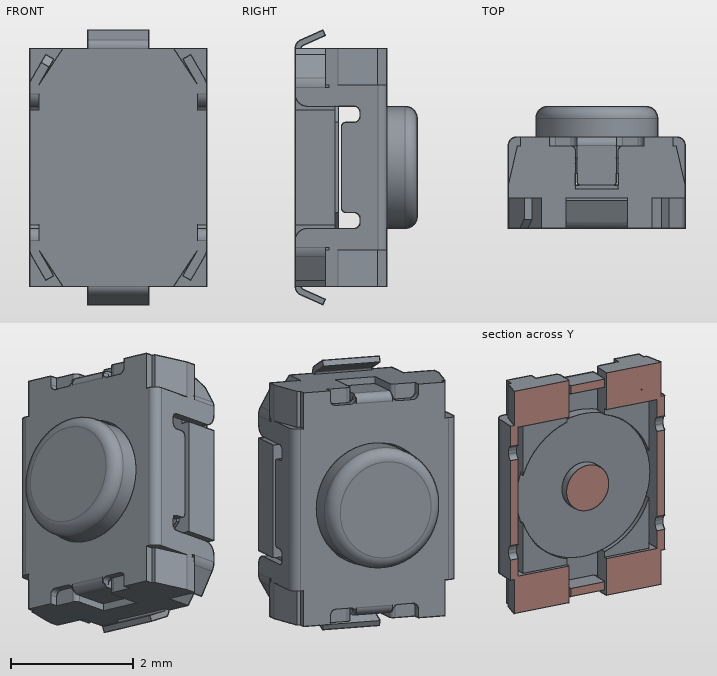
import cadquery as cq
import math

WIDTH = 2.9
HEIGHT = 3.9
OVERALL_HEIGHT = 4.5
OVERALL_DEPTH = 2.0
COVER_TOP = 1.5
SHEET = 0.15

HALF_W = WIDTH / 2
HALF_H = HEIGHT / 2
INNER_X = HALF_W - SHEET
HOUSING_TOP = COVER_TOP - SHEET

FLOOR = 0.65
CAVITY_DIAMETER = 2.5
SIDE_BLOCK_HALF = 0.94
SIDE_WINDOW_HALF = 1.3
REBATE_X = 1.18
TAPER_START = 0.7
POCKET_DEPTH = 0.5
POCKET_EDGE_X = 0.905
END_SLOT_WIDTH = 0.7
END_SLOT_ROUND = 0.075

SKIRT_HALF = 1.352
EAR_HALF_W = 1.245
COVER_HOLE_DIAMETER = 2.05
WINDOW_HALF = 1.0
WINDOW_TOP = 1.06
WINDOW_ROUND = 0.1
FLAP_HALF = 0.74
FLAP_END = 0.755
FLAP_ROUND = 0.08
LEG_ROUND = 0.2
SKIRT_BEND = 0.145

TONGUE_WIDTH = 0.64
TONGUE_RECESS = 0.1
TONGUE_END = 0.71
TONGUE_BEND = 0.145
TONGUE_ROUND = 0.05
NOTCH_WIDTH = 1.55
NOTCH_DEPTH = 0.25
NOTCH_ROUND = 0.1

TAB_ANGLE = 30
TAB_TIP_Z = 1.848
TAB_CHAMFER = 0.15
TAB_BEND_RADIUS = 0.3
RELIEF_WIDTH = 0.05

BUTTON_DIAMETER = 2.0
BUTTON_ROUND = 0.2
FLANGE_BOTTOM = 1.15
NUB_DIAMETER = 0.8
NUB_BOTTOM = 0.9
CONTACT_THICKNESS = 0.06
CONTACT_HALF = 1.24
CONTACT_FLAT_HALF = FLAP_HALF

TERMINAL_WIDTH = 1.0
TERMINAL_SHEET = 0.1
TERMINAL_BEND = 0.15
TERMINAL_TILT = 24


def box(x0, x1, y0, y1, z0, z1):
    return cq.Workplane("XY").box(x1 - x0, y1 - y0, z1 - z0, centered=False).translate((x0, y0, z0))


def centred_box(width, y0, y1, height):
    return box(-width / 2, width / 2, y0, y1, -height / 2, height / 2)


def plane_at(y):
    """Work plane with local X, Y along the part's X, Z; negative extrusions go toward +Y."""
    return cq.Workplane("XZ", origin=(0, y, 0))


def cylinder(diameter, y0, y1):
    return plane_at(y0).circle(diameter / 2).extrude(y0 - y1)


def both_sides(shape, mirror_plane):
    return shape.union(shape.mirror(mirror_plane))


def four_corners(shape):
    return both_sides(both_sides(shape, "YZ"), "XY")


def corner_taper():
    return (
        cq.Workplane("XY", origin=(0, 0, SKIRT_HALF))
        .polyline([(HALF_W, TAPER_START), (HALF_W, HOUSING_TOP), (INNER_X, HOUSING_TOP)])
        .close()
        .extrude(HALF_H - SKIRT_HALF)
    )


def corner_pocket():
    return (
        plane_at(0)
        .polyline([
            (HALF_W, SKIRT_HALF),
            (INNER_X, SKIRT_HALF),
            (POCKET_EDGE_X, HALF_H),
            (HALF_W, HALF_H),
        ])
        .close()
        .extrude(-POCKET_DEPTH)
    )


def end_slot():
    """Slot along Z through both end walls for the cover tongues, with a rounded mouth."""
    half = END_SLOT_WIDTH / 2
    mouth = half + END_SLOT_ROUND
    return (
        cq.Workplane("XY", origin=(0, 0, -HALF_H))
        .moveTo(-half, FLOOR)
        .lineTo(half, FLOOR)
        .lineTo(half, HOUSING_TOP - END_SLOT_ROUND)
        .radiusArc((mouth, HOUSING_TOP), END_SLOT_ROUND)
        .lineTo(-mouth, HOUSING_TOP)
        .radiusArc((-half, HOUSING_TOP - END_SLOT_ROUND), END_SLOT_ROUND)
        .close()
        .extrude(HEIGHT)
    )


def make_housing():
    skirt_recess = box(INNER_X, HALF_W, 0, HOUSING_TOP, -SKIRT_HALF, SKIRT_HALF)
    side_block = box(INNER_X, HALF_W, 0, FLOOR, -SIDE_BLOCK_HALF, SIDE_BLOCK_HALF)
    side_window = centred_box(WIDTH, FLOOR, WINDOW_TOP, 2 * SIDE_WINDOW_HALF)
    wall_rebate = box(REBATE_X, INNER_X, FLOOR, HOUSING_TOP, -SIDE_WINDOW_HALF, SIDE_WINDOW_HALF)
    return (
        centred_box(WIDTH, 0, HOUSING_TOP, HEIGHT)
        .cut(both_sides(skirt_recess.cut(side_block), "YZ"))
        .cut(four_corners(corner_taper()))
        .cut(four_corners(corner_pocket()))
        .cut(cylinder(CAVITY_DIAMETER, FLOOR, HOUSING_TOP))
        .cut(side_window)
        .cut(both_sides(wall_rebate, "YZ"))
        .cut(end_slot())
    )


def make_skirt():
    """Skirt on the +X side: two legs down to the mounting face and a short flap between them."""
    skirt = (
        cq.Workplane("YZ", origin=(INNER_X, 0, 0))
        .polyline([
            (COVER_TOP, -SKIRT_HALF),
            (0, -SKIRT_HALF),
            (0, -WINDOW_HALF),
            (WINDOW_TOP, -WINDOW_HALF),
            (WINDOW_TOP, -FLAP_HALF),
            (FLAP_END, -FLAP_HALF),
            (FLAP_END, FLAP_HALF),
            (WINDOW_TOP, FLAP_HALF),
            (WINDOW_TOP, WINDOW_HALF),
            (0, WINDOW_HALF),
            (0, SKIRT_HALF),
            (COVER_TOP, SKIRT_HALF),
        ])
        .close()
        .extrude(SHEET)
    )
    skirt = round_corners(skirt, 0, WINDOW_HALF, LEG_ROUND)
    skirt = round_corners(skirt, WINDOW_TOP, WINDOW_HALF, WINDOW_ROUND)
    skirt = round_corners(skirt, WINDOW_TOP, FLAP_HALF, WINDOW_ROUND)
    return round_corners(skirt, FLAP_END, FLAP_HALF, FLAP_ROUND)


def round_corners(skirt, y, z, radius):
    """Round the two skirt corners at height y and at plus and minus z."""
    for side in (-1, 1):
        corner = cq.selectors.NearestToPointSelector((INNER_X + SHEET / 2, y, side * z))
        skirt = skirt.edges("|X").edges(corner).fillet(radius)
    return skirt


def end_notch():
    """Notch in the +Z edge of the cover plate, on the +X side of the tongue."""
    return (
        box(TONGUE_WIDTH / 2, NOTCH_WIDTH / 2, HOUSING_TOP, COVER_TOP, HALF_H - NOTCH_DEPTH, HALF_H)
        .edges("|Y and <Z").fillet(NOTCH_ROUND)
    )


def end_tongue():
    """Strip bent from the +Z edge of the cover plate into the end slot."""
    half = TONGUE_WIDTH / 2
    face_z = HALF_H - TONGUE_RECESS
    return (
        box(-half, half, TONGUE_END, COVER_TOP, face_z - SHEET, face_z)
        .edges("|X and >Y and >Z").fillet(TONGUE_BEND)
        .edges("|Z and <Y").fillet(TONGUE_ROUND)
    )


def make_cover():
    plate_half_h = HALF_H - TONGUE_RECESS - SHEET
    plate = (
        centred_box(2 * EAR_HALF_W, HOUSING_TOP, COVER_TOP, HEIGHT)
        .union(centred_box(2 * INNER_X, HOUSING_TOP, COVER_TOP, 2 * SKIRT_HALF))
        .cut(four_corners(end_notch()))
    )
    tongue_roots = centred_box(TONGUE_WIDTH, HOUSING_TOP, COVER_TOP, HEIGHT).cut(
        centred_box(TONGUE_WIDTH, HOUSING_TOP, COVER_TOP, 2 * plate_half_h)
    )
    skirt = make_skirt().edges("|Z and >X and >Y").fillet(SKIRT_BEND)
    return (
        plate.cut(tongue_roots)
        .union(both_sides(end_tongue(), "XY"))
        .union(both_sides(skirt, "YZ"))
        .cut(cylinder(COVER_HOLE_DIAMETER, HOUSING_TOP, COVER_TOP))
    )


def bend_start(bend_radius):
    """z where a tab bend begins, chosen so that the outer flank is the same for every radius."""
    return SKIRT_HALF - (bend_radius - SHEET) * math.tan(math.radians(TAB_ANGLE / 2))


def corner_tab(bend_radius):
    """Tab at the +X +Z corner, bent inward from a skirt leg around the Y axis."""
    angle = math.radians(TAB_ANGLE)
    along_x, along_z = -math.sin(angle), math.cos(angle)
    centre = (HALF_W - bend_radius, bend_start(bend_radius))

    def on_bend(radius, turn):
        return (centre[0] + radius * math.cos(turn), centre[1] + radius * math.sin(turn))

    bend_end = on_bend(bend_radius, angle)
    length = (TAB_TIP_Z - bend_end[1]) / along_z
    tip_outer = (bend_end[0] + length * along_x, TAB_TIP_Z)
    tip_inner = (tip_outer[0] - SHEET * along_z, tip_outer[1] + SHEET * along_x)
    outline = (
        plane_at(0)
        .moveTo(HALF_W, centre[1])
        .threePointArc(on_bend(bend_radius, angle / 2), bend_end)
        .lineTo(*tip_outer)
        .lineTo(*tip_inner)
    )
    if bend_radius > SHEET:
        inner_radius = bend_radius - SHEET
        outline = (
            outline.lineTo(*on_bend(inner_radius, angle))
            .threePointArc(on_bend(inner_radius, angle / 2), (INNER_X, centre[1]))
        )
    else:
        outline = outline.lineTo(*centre)
    return outline.close().extrude(-POCKET_DEPTH)


def make_button():
    return (
        cylinder(BUTTON_DIAMETER, HOUSING_TOP, OVERALL_DEPTH)
        .faces(">Y").edges().fillet(BUTTON_ROUND)
        .union(cylinder(CAVITY_DIAMETER, FLANGE_BOTTOM, HOUSING_TOP))
        .union(cylinder(NUB_DIAMETER, NUB_BOTTOM, FLANGE_BOTTOM))
    )


def make_contact():
    """Octagonal contact plate on the cavity floor."""
    corner = CONTACT_HALF - CONTACT_FLAT_HALF
    return (
        centred_box(2 * CONTACT_HALF, FLOOR, FLOOR + CONTACT_THICKNESS, 2 * CONTACT_HALF)
        .edges("|Y").chamfer(corner)
    )


def make_terminal():
    """Terminal bent up from the mounting face beyond the +Z end of the housing."""
    tilt = math.radians(TERMINAL_TILT)
    along_y, along_z = math.cos(tilt), math.sin(tilt)
    inner_bend = TERMINAL_BEND - TERMINAL_SHEET
    turn = math.pi / 2 - tilt

    def on_bend(radius, part):
        return (
            TERMINAL_BEND - radius * math.cos(part * turn),
            HALF_H + radius * math.sin(part * turn),
        )

    outer_end = on_bend(TERMINAL_BEND, 1)
    length = (OVERALL_HEIGHT / 2 - outer_end[1]) / along_z
    tip_outer = (outer_end[0] + length * along_y, OVERALL_HEIGHT / 2)
    tip_inner = (
        tip_outer[0] + TERMINAL_SHEET * along_z,
        tip_outer[1] - TERMINAL_SHEET * along_y,
    )
    return (
        cq.Workplane("YZ", origin=(-TERMINAL_WIDTH / 2, 0, 0))
        .moveTo(0, HALF_H)
        .threePointArc(on_bend(TERMINAL_BEND, 0.5), outer_end)
        .lineTo(*tip_outer)
        .lineTo(*tip_inner)
        .lineTo(*on_bend(inner_bend, 1))
        .threePointArc(on_bend(inner_bend, 0.5), on_bend(inner_bend, 0))
        .close()
        .extrude(TERMINAL_WIDTH)
    )


def add_tabs(cover):
    """Bend a sharp, chamfered tab from the -X +Z corner and slit, wider bent tabs from the others."""
    chamfered_tab = corner_tab(SHEET).faces("<Y").edges(">Z").chamfer(TAB_CHAMFER).mirror("YZ")
    wide_tab = corner_tab(TAB_BEND_RADIUS)
    relief = box(INNER_X, HALF_W, 0, POCKET_DEPTH + RELIEF_WIDTH, bend_start(TAB_BEND_RADIUS), SKIRT_HALF)
    reliefs = relief.union(both_sides(relief.mirror("XY"), "YZ"))
    wide_tabs = wide_tab.union(both_sides(wide_tab.mirror("XY"), "YZ"))
    return cover.cut(reliefs).union(chamfered_tab).union(wide_tabs)


result = (
    make_housing()
    .union(add_tabs(make_cover()))
    .union(make_button())
    .union(make_contact())
    .union(both_sides(make_terminal(), "XY"))
)